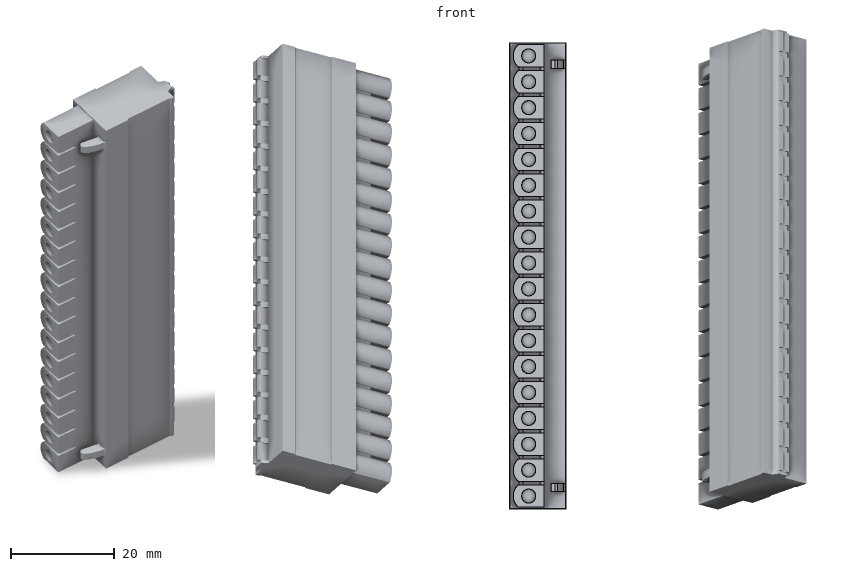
import cadquery as cq
import math

height = 90.0
positions = 18
pitch = height / positions
width = 10.9
body_front = 8.3
body_back = 24.5
total_depth = 26.5

waist_inset = 0.3
waist_front = 13.6
waist_back_left = 21.8
waist_back_right = 23.85

bore_x = 3.7
bore_radius = 1.35
bore_depth = 1.3
plug_round_radius = 3.0
plug_right = 6.7
plug_height = 4.3

web_front = 4.1
web_left = 1.8
web_slot_left = 2.6
web_slot_right = 5.85

rib_base_left = 5.6
rib_top_left = 6.1
rib_top_right = 8.3
rib_base_right = 8.7
rib_back = 25.8
tab_height = 3.9
prong_width = 0.6

latch_height = 1.6
latch_end_distance = 4.1
latch_root_left = (8.3, body_front)
latch_left_flare = [(8.5, 8.2), (8.55, 7.9)]
latch_left_bottom = (8.1, 4.95)
latch_tip = [(8.2, 4.1), (8.7, 3.9)]
latch_ramp_start = (9.3, 4.2)
latch_outer_side = [(10.0, 5.8), (10.4, 7.7)]
latch_right_flare = [(10.5, 8.1), (10.8, body_front)]

plug_heights = [(index + 0.5) * pitch for index in range(positions)]


def box(x_range, y_range, z_range):
    """Box spanning the given (low, high) ranges."""
    low, high = zip(x_range, y_range, z_range)
    size = [top - bottom for bottom, top in zip(low, high)]
    return cq.Workplane("XY").box(*size, centered=False).translate(low)


def centred_range(middle, length):
    return (middle - length / 2, middle + length / 2)


def make_body():
    right_waist = width - waist_inset
    outline = [
        (0, body_front),
        (width, body_front),
        (width, waist_front),
        (right_waist, waist_front),
        (right_waist, waist_back_right - waist_inset),
        (width, waist_back_right),
        (width, body_back),
        (0, body_back),
        (0, waist_back_left),
        (waist_inset, waist_back_left - waist_inset),
        (waist_inset, waist_front),
        (0, waist_front),
    ]
    return cq.Workplane("XY").polyline(outline).close().extrude(height)


def make_rib():
    outline = [
        (rib_base_left, body_back),
        (rib_base_right, body_back),
        (rib_top_right, rib_back),
        (rib_top_left, rib_back),
    ]
    return cq.Workplane("XY").polyline(outline).close().extrude(height)


def make_plug(z):
    """Sleeve profile in the XZ plane, extruded from the tip back to the body."""
    half = plug_height / 2
    corner_x = bore_x - math.sqrt(plug_round_radius**2 - half**2)
    return (
        cq.Workplane("XZ")
        .moveTo(corner_x, z - half)
        .lineTo(plug_right, z - half)
        .lineTo(plug_right, z + half)
        .lineTo(corner_x, z + half)
        .threePointArc((bore_x - plug_round_radius, z), (corner_x, z - half))
        .close()
        .extrude(-body_front)
    )


def make_bores():
    centres = [(bore_x, z) for z in plug_heights]
    return cq.Workplane("XZ").pushPoints(centres).circle(bore_radius).extrude(-bore_depth)


def make_web(z):
    """Slotted plate filling the gap between two plugs, centred at height z."""
    y_range = (web_front, body_front)
    z_range = centred_range(z, pitch - plug_height)
    web = box((web_left, plug_right), y_range, z_range)
    return web.cut(box((web_slot_left, web_slot_right), y_range, z_range))


def make_flank_notch(z):
    """Cuts the sloped -X flank of the rib back to a flat face beside a tab."""
    return box((rib_base_left, rib_top_left), (body_back, rib_back), centred_range(z, tab_height))


def make_prong(x_left, z):
    """One of the two prongs of a tab, standing on the rib."""
    x_range = (x_left, x_left + prong_width)
    return box(x_range, (rib_back, total_depth), centred_range(z, tab_height))


def make_latch(z):
    """Curved hook with a rounded tip and flared corners where its root meets the body."""
    return (
        cq.Workplane("XY")
        .moveTo(*latch_root_left)
        .threePointArc(*latch_left_flare)
        .lineTo(*latch_left_bottom)
        .threePointArc(*latch_tip)
        .lineTo(*latch_ramp_start)
        .threePointArc(*latch_outer_side)
        .threePointArc(*latch_right_flare)
        .close()
        .extrude(latch_height)
        .translate((0, 0, z - latch_height / 2))
    )


result = make_body().union(make_rib())
for plug_z in plug_heights:
    result = result.cut(make_flank_notch(plug_z))
    result = result.union(make_prong(rib_top_left, plug_z))
    result = result.union(make_prong(rib_top_right - prong_width, plug_z))
    result = result.union(make_plug(plug_z))
for gap in range(1, positions):
    result = result.union(make_web(gap * pitch))
for latch_z in (latch_end_distance, height - latch_end_distance):
    result = result.union(make_latch(latch_z))
result = result.cut(make_bores())